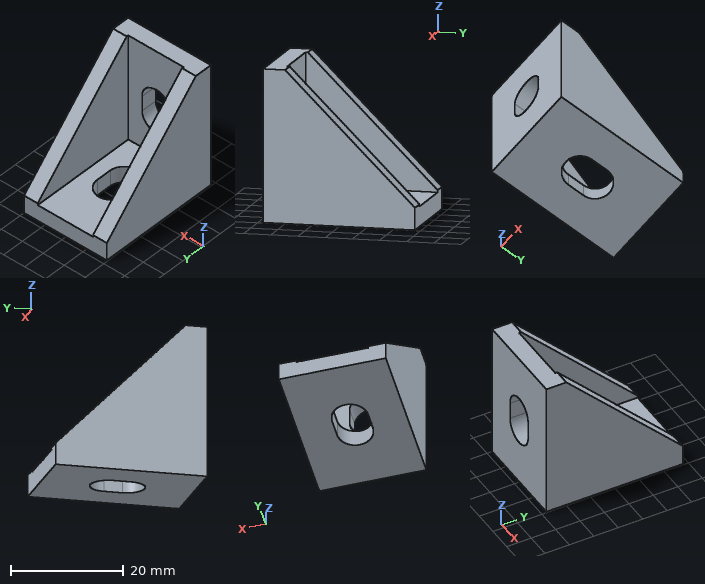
import cadquery as cq

width = 19.8
leg = 28.0
plate_thickness = 3.7
side_wall = 3.3
end_land = 4.1
slot_width = 6.6
slot_length = 10.0
slot_center = leg / 2


def bracket_body():
    """Solid corner block: outer faces on Y = 0 and Z = 0, sloped edge between the leg tips."""
    outline = [(0, 0), (leg, 0), (leg, end_land), (end_land, leg), (0, leg)]
    return cq.Workplane("YZ").polyline(outline).close().extrude(width / 2, both=True)


def inner_pocket():
    """Space between the side walls, open towards the sloped edge."""
    pocket_width = width - 2 * side_wall
    pocket_size = leg - plate_thickness
    return (
        cq.Workplane("XY")
        .box(pocket_width, pocket_size, pocket_size, centered=(True, False, False))
        .translate((0, plate_thickness, plate_thickness))
    )


def slot_cutter(plane, depth):
    """Slot running along the leg, extruded from the outer face of a plate."""
    return cq.Workplane(plane).center(0, slot_center).slot2D(slot_length, slot_width, 90).extrude(depth)


upright_slot = slot_cutter("XZ", -plate_thickness)
base_slot = slot_cutter("XY", plate_thickness)

result = bracket_body().cut(inner_pocket()).cut(upright_slot).cut(base_slot)